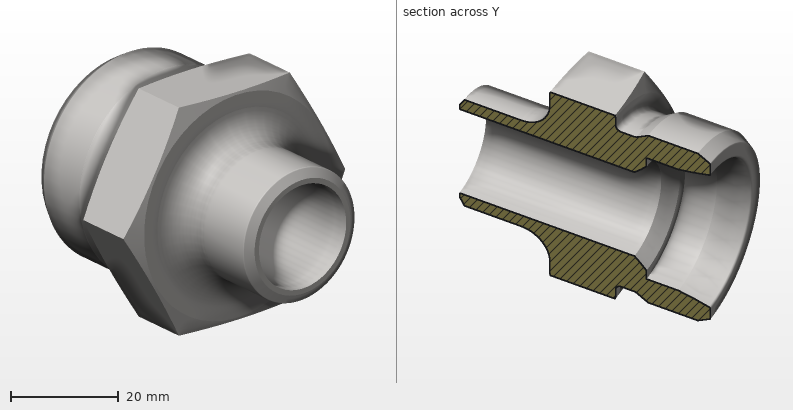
import cadquery as cq
import math

TOTAL_LENGTH = 53.0
HEX_START = 20.0
HEX_END = 34.0
HEX_ACROSS_FLATS = 46.0
HEX_FACE_DIAMETER = 45.0
HEX_CHAMFER_ANGLE = 15.0

THREAD_DIAMETER = 42.0
THREAD_END = 13.15
THREAD_CHAMFER_ANGLE = 30.0
GROOVE_DIAMETER = 38.9
GROOVE_FILLET = 1.2
EDGE_ROUND = 0.3

WELD_DIAMETER = 26.7
WELD_FILLET = 6.0
WELD_FACE_DIAMETER = 23.0
WELD_BEVEL_ANGLE = 60.0
WELD_EDGE_ROUND = 0.3

MOUTH_DIAMETER = 33.1
MOUTH_ROUND = 0.5
MOUTH_CONE_ANGLE = 12.0
SOCKET_DIAMETER = 30.22
SOCKET_DEPTH = 13.5
STEP_DIAMETER = 26.0
STEP_CONE_ANGLE = 45.0
BORE_DIAMETER = 20.9

TOLERANCE = 0.001


def cone_length(large_diameter, small_diameter, angle):
    """Axial length of a cone whose side slopes at the given angle to the axis."""
    return (large_diameter - small_diameter) / 2 / math.tan(math.radians(angle))


def revolve_about_x(points):
    """Solid of revolution bounded by the X axis and a line through (x, diameter) points."""
    first_x = points[0][0]
    last_x = points[-1][0]
    outline = [(x, diameter / 2) for x, diameter in points]
    profile = cq.Workplane("XY").polyline([(first_x, 0)] + outline + [(last_x, 0)]).close()
    return profile.revolve(360, (0, 0, 0), (1, 0, 0))


def round_edge(solid, x, diameter, fillet_radius):
    """Fillet the circular edge of the given diameter that lies at position x."""

    def matches(edge):
        return abs(edge.Center().x - x) < TOLERANCE and abs(edge.radius() - diameter / 2) < TOLERANCE

    return solid.edges("%CIRCLE").filter(matches).fillet(fillet_radius)


def make_threaded_end():
    """Chamfered thread cylinder running out at a cone into the groove before the hexagon."""
    chamfer_length = cone_length(THREAD_DIAMETER, GROOVE_DIAMETER, THREAD_CHAMFER_ANGLE)
    groove_start = THREAD_END + chamfer_length
    body = revolve_about_x([
        (0, GROOVE_DIAMETER),
        (chamfer_length, THREAD_DIAMETER),
        (THREAD_END, THREAD_DIAMETER),
        (groove_start, GROOVE_DIAMETER),
        (HEX_START, GROOVE_DIAMETER),
    ])
    body = round_edge(body, 0, GROOVE_DIAMETER, EDGE_ROUND)
    body = round_edge(body, chamfer_length, THREAD_DIAMETER, EDGE_ROUND)
    body = round_edge(body, THREAD_END, THREAD_DIAMETER, EDGE_ROUND)
    return round_edge(body, groove_start, GROOVE_DIAMETER, GROOVE_FILLET)


def make_weld_end():
    """Plain spigot with a welding bevel."""
    bevel_start = TOTAL_LENGTH - cone_length(WELD_DIAMETER, WELD_FACE_DIAMETER, WELD_BEVEL_ANGLE)
    body = revolve_about_x([
        (HEX_END, WELD_DIAMETER),
        (bevel_start, WELD_DIAMETER),
        (TOTAL_LENGTH, WELD_FACE_DIAMETER),
    ])
    return round_edge(body, bevel_start, WELD_DIAMETER, WELD_EDGE_ROUND)


def make_hexagon():
    """Hexagon with flats on +Z and -Z, its corners turned off conically on both faces."""
    across_corners = HEX_ACROSS_FLATS / math.cos(math.pi / 6)
    chamfer_length = cone_length(across_corners, HEX_FACE_DIAMETER, 90 - HEX_CHAMFER_ANGLE)
    prism = (
        cq.Workplane("YZ", origin=(HEX_START, 0, 0))
        .polygon(6, across_corners)
        .extrude(HEX_END - HEX_START)
    )
    envelope = revolve_about_x([
        (HEX_START, HEX_FACE_DIAMETER),
        (HEX_START + chamfer_length, across_corners),
        (HEX_END - chamfer_length, across_corners),
        (HEX_END, HEX_FACE_DIAMETER),
    ])
    return prism.intersect(envelope)


def make_passage():
    """Through passage: conical mouth, tube socket, flat shoulder, tapered step and bore."""
    mouth_length = cone_length(MOUTH_DIAMETER, SOCKET_DIAMETER, MOUTH_CONE_ANGLE)
    step_length = cone_length(STEP_DIAMETER, BORE_DIAMETER, STEP_CONE_ANGLE)
    return revolve_about_x([
        (0, MOUTH_DIAMETER),
        (mouth_length, SOCKET_DIAMETER),
        (SOCKET_DEPTH, SOCKET_DIAMETER),
        (SOCKET_DEPTH, STEP_DIAMETER),
        (SOCKET_DEPTH + step_length, BORE_DIAMETER),
        (TOTAL_LENGTH, BORE_DIAMETER),
    ])


def make_fitting():
    """Hexagon joined to both ends by fillets, then bored through."""
    fitting = make_hexagon().union(make_threaded_end()).union(make_weld_end())
    fitting = round_edge(fitting, HEX_START, GROOVE_DIAMETER, GROOVE_FILLET)
    fitting = round_edge(fitting, HEX_END, WELD_DIAMETER, WELD_FILLET)
    fitting = fitting.cut(make_passage())
    return round_edge(fitting, 0, MOUTH_DIAMETER, MOUTH_ROUND)


result = make_fitting()